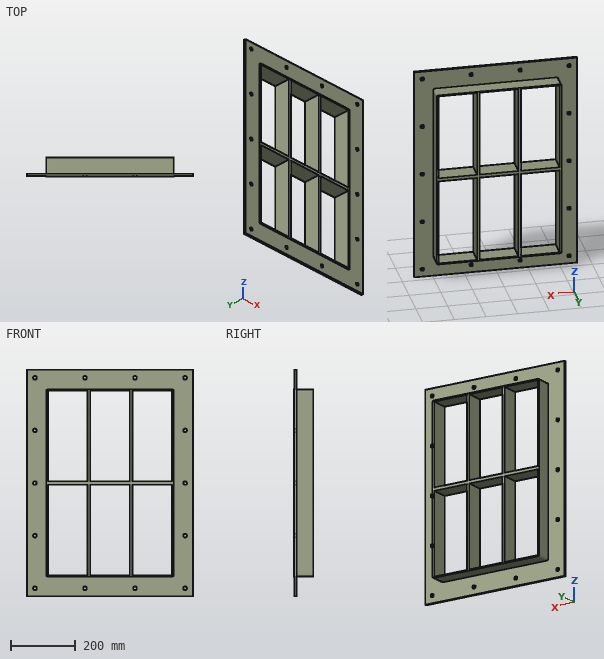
import cadquery as cq

plate_width = 514.0
plate_height = 700.0
plate_thickness = 8.0

frame_width = 395.0
frame_height = 578.0
frame_depth = 60.0
frame_corner_radius = 7.0
front_lip = 2.0

columns = 3
rows = 2
window_width = 121.0
window_height = 279.0
mullion_width = 9.0
crossbar_height = 11.0

hole_diameter = 10.5
hole_edge_distance = 25.0
holes_across = 4
holes_up = 5


def centered_block(width, depth, height, front_y):
    """Block centered in X and Z, extending toward +Y from front_y."""
    return cq.Workplane("XY").box(width, depth, height).translate((0, front_y + depth / 2, 0))


def make_plate():
    return centered_block(plate_width, plate_thickness, plate_height, front_lip)


def make_frame():
    block = centered_block(frame_width, frame_depth, frame_height, 0)
    return block.edges("|Y").fillet(frame_corner_radius)


def make_windows():
    return (
        cq.Workplane("XZ")
        .rarray(window_width + mullion_width, window_height + crossbar_height, columns, rows)
        .rect(window_width, window_height)
        .extrude(-frame_depth)
    )


def make_bolt_holes():
    """Evenly spaced holes along all four edges of the flange."""
    pitch_x = (plate_width - 2 * hole_edge_distance) / (holes_across - 1)
    pitch_z = (plate_height - 2 * hole_edge_distance) / (holes_up - 1)
    centers = []
    for column in range(holes_across):
        for row in range(holes_up):
            if column in (0, holes_across - 1) or row in (0, holes_up - 1):
                x = hole_edge_distance + column * pitch_x - plate_width / 2
                z = hole_edge_distance + row * pitch_z - plate_height / 2
                centers.append((x, z))
    return cq.Workplane("XZ").pushPoints(centers).circle(hole_diameter / 2).extrude(-frame_depth)


result = make_plate().union(make_frame()).cut(make_windows()).cut(make_bolt_holes())